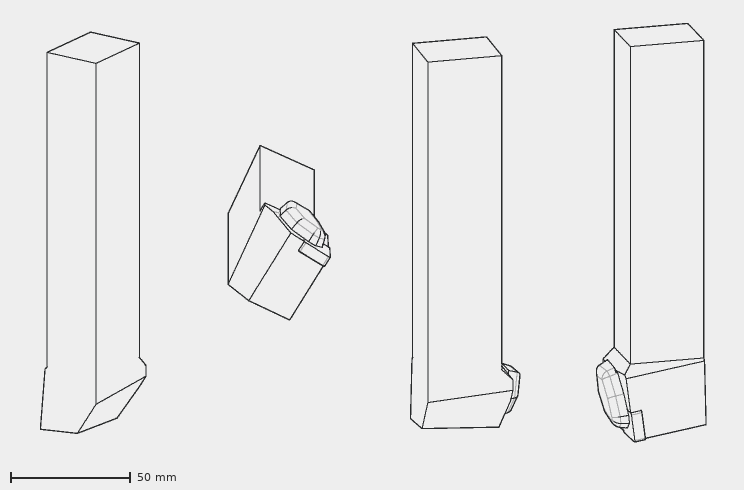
import math

import cadquery as cq


TOOL_LENGTH = 171.4
TOOL_WIDTH = 32.4

SHANK_WIDTH = 25.0
SHANK_HEIGHT = 32.0

RAKE = math.tan(math.radians(6))
LEAD_ANGLE = math.radians(5)

CORNER_ANGLE = math.radians(90) - 2 * LEAD_ANGLE
INSCRIBED_CIRCLE = 12.7
INSERT_THICKNESS = 4.8
NOSE_RADIUS = 0.9

INSERT_OVERHANG = 0.7
SHOULDER_Z = 32.2
HEAD_HEIGHT = 36.8
END_FACE_LENGTH = 18.8
RELIEF_ANGLE = math.radians(57)
HEAD_REACH = 51.4

CLAMP_HEIGHT = 6.0
CLAMP_SEAT = 1.7
CLAMP_DRAFT = 15.0
CLAMP_BACK_U = 26.0
CLAMP_BACK_V = 29.5
CLAMP_BACK_CORNER_U = 13.2
CLAMP_BACK_RADIUS = 3.5
CLAMP_FILLET = 3.5
CLAMP_NOSE_SIDE = 4.0
CLAMP_NOSE_CORNER = 7.2
CLAMP_SHOULDER = 11.0
CLAMP_WAIST = 19.7
CLAMP_END_V = 16.3
CLAMP_NOSE_HEIGHT = 1.0
CLAMP_NOSE_DISTANCE = 10.3
CLAMP_NOSE_SLOPE = math.radians(29)

cutting_plane = cq.Plane(
    origin=(-TOOL_WIDTH, SHANK_HEIGHT, 0),
    xDir=(1, RAKE, 0),
    normal=(RAKE, -1, RAKE),
)


def along_end(length):
    """Offset of a given length along the end cutting edge."""
    return cq.Vector(length * math.cos(LEAD_ANGLE), length * math.sin(LEAD_ANGLE))


def along_side(length):
    """Offset of a given length along the side cutting edge."""
    return cq.Vector(length * math.sin(LEAD_ANGLE), length * math.cos(LEAD_ANGLE))


def prism(points, depth):
    """Prism from the cutting plane down to the given depth."""
    outline = [(p.x, p.y) for p in points]
    return cq.Workplane(cutting_plane).polyline(outline).close().extrude(depth)


sharp_offset = NOSE_RADIUS * (1 - math.sqrt(0.5) / math.sin(CORNER_ANGLE / 2))
sharp_corner = cq.Vector(sharp_offset, sharp_offset)


def make_insert():
    """Rhombic plate with four rounded corners."""
    side = INSCRIBED_CIRCLE / math.sin(CORNER_ANGLE)
    end_corner = sharp_corner + along_end(side)
    side_corner = sharp_corner + along_side(side)
    far_corner = end_corner + along_side(side)
    plate = prism([sharp_corner, end_corner, far_corner, side_corner], INSERT_THICKNESS)
    corner_edges = cq.selectors.ParallelDirSelector(cutting_plane.zDir)
    return plate.edges(corner_edges).fillet(NOSE_RADIUS)


def make_shank():
    """Rectangular bar above the shoulder."""
    return (
        cq.Workplane("XY")
        .box(SHANK_WIDTH, SHANK_HEIGHT, TOOL_LENGTH - SHOULDER_Z, centered=False)
        .translate((-SHANK_WIDTH, 0, SHOULDER_Z))
    )


def make_head_envelope():
    """Block below the shoulder, widening downwards at 45 degrees on -X and +Y."""
    spread = SHOULDER_Z
    return (
        cq.Workplane("XY")
        .workplane(offset=SHOULDER_Z)
        .moveTo(-SHANK_WIDTH, 0)
        .rect(SHANK_WIDTH, SHANK_HEIGHT, centered=False)
        .workplane(offset=-SHOULDER_Z)
        .moveTo(-SHANK_WIDTH - spread, 0)
        .rect(SHANK_WIDTH + spread, SHANK_HEIGHT + spread, centered=False)
        .loft(ruled=True)
    )


def make_head():
    """Head with its sides square to the cutting plane and a relief on the +X side."""
    corner = sharp_corner + cq.Vector(INSERT_OVERHANG, INSERT_OVERHANG)
    relief_start = corner + along_end(END_FACE_LENGTH)
    relief_end = relief_start + cq.Vector(math.cos(RELIEF_ANGLE), math.sin(RELIEF_ANGLE)) * HEAD_REACH
    sides = prism([corner, relief_start, relief_end, corner + along_side(HEAD_REACH)], HEAD_REACH)
    height_limit = cq.Workplane("XY").box(
        2 * HEAD_REACH, HEAD_HEIGHT, 2 * HEAD_REACH, centered=(True, False, True)
    )
    return make_head_envelope().intersect(sides).intersect(height_limit)


def make_nose_cutter():
    """Wedge that slopes the clamp down towards the tip, square to the corner bisector."""
    bisector = cutting_plane.xDir + cutting_plane.yDir
    bisector_plane = cq.Plane(
        origin=cutting_plane.origin,
        xDir=bisector,
        normal=cutting_plane.zDir.cross(bisector),
    )
    slope = math.tan(CLAMP_NOSE_SLOPE)
    height_at_tip = CLAMP_NOSE_HEIGHT - slope * CLAMP_NOSE_DISTANCE
    return (
        cq.Workplane(bisector_plane)
        .polyline([
            (0, -height_at_tip),
            (HEAD_REACH, -height_at_tip - slope * HEAD_REACH),
            (0, -height_at_tip - slope * HEAD_REACH),
        ])
        .close()
        .extrude(HEAD_REACH, both=True)
    )


def make_clamp():
    """Drafted clamp claw with a sloping nose over the insert and a rounded top."""
    outline = [
        (CLAMP_BACK_CORNER_U, CLAMP_BACK_V),
        (CLAMP_NOSE_CORNER, CLAMP_WAIST),
        (CLAMP_NOSE_SIDE, CLAMP_SHOULDER),
        (CLAMP_NOSE_SIDE, CLAMP_NOSE_CORNER),
        (CLAMP_NOSE_CORNER, CLAMP_NOSE_SIDE),
        (CLAMP_SHOULDER, CLAMP_NOSE_SIDE),
        (CLAMP_WAIST, CLAMP_NOSE_CORNER),
        (CLAMP_BACK_U, CLAMP_END_V),
        (CLAMP_BACK_U, CLAMP_BACK_V),
    ]
    claw = (
        cq.Workplane(cutting_plane)
        .workplane(offset=CLAMP_SEAT)
        .polyline(outline)
        .close()
        .extrude(-CLAMP_HEIGHT - CLAMP_SEAT, taper=CLAMP_DRAFT)
        .cut(make_nose_cutter())
    )
    back_corner = cq.selectors.NearestToPointSelector(
        cutting_plane.toWorldCoords((CLAMP_BACK_CORNER_U, CLAMP_BACK_V, 0)).toTuple()
    )
    claw = claw.edges(back_corner).fillet(CLAMP_BACK_RADIUS)
    upper_face = cq.selectors.DirectionMinMaxSelector(cutting_plane.zDir, directionMax=False)
    claw = claw.faces(upper_face).edges().fillet(CLAMP_FILLET)
    ledge_z = SHOULDER_Z - (HEAD_HEIGHT - SHANK_HEIGHT)
    overhang = (
        cq.Workplane("XY")
        .box(HEAD_REACH, HEAD_HEIGHT, HEAD_REACH, centered=False)
        .translate((-HEAD_REACH, 0, ledge_z))
    )
    return claw.cut(overhang)


def make_holder(insert):
    """Shank, head and clamp in one piece, with the pocket that seats the insert."""
    return make_shank().union(make_head()).union(make_clamp()).cut(insert)


insert = make_insert()
holder = make_holder(insert)

result = cq.Compound.makeCompound([holder.val(), insert.val()])